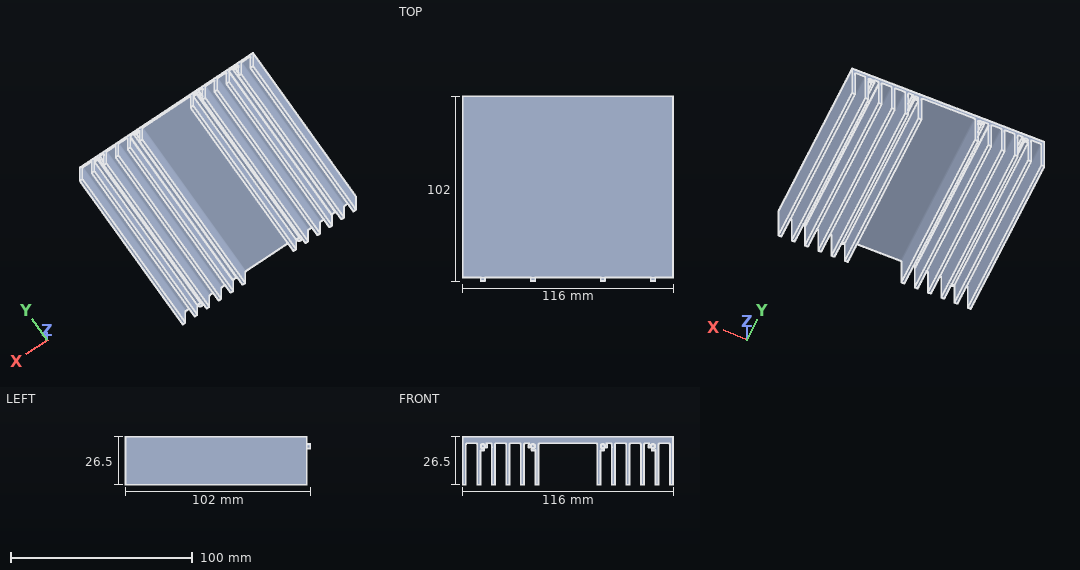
import cadquery as cq
import math

WIDTH = 116.0
HEIGHT = 26.5
LENGTH = 100.0
PLATE_THICKNESS = 3.6
OUTER_EDGE_RADIUS = 0.2

FINS_PER_SIDE = 6
FIN_THICKNESS = 1.9
FIN_PITCH = 8.0
FIN_ROOT_RADIUS = 0.7

PIN_DIAMETER = 2.5
PIN_PROJECTION = 2.0
PIN_TIP_CHAMFER = 0.2
PIN_TO_FIN = PIN_DIAMETER / 2
PIN_DROP = 1.6

CHANNEL_OUTER_DIAMETER = 5.1
LIP_ANGLE = 80.0
OPENING_TILT = 45.0

PLATE_UNDERSIDE = -PLATE_THICKNESS
PIN_Z = PLATE_UNDERSIDE - PIN_DROP
LIP_THICKNESS = (CHANNEL_OUTER_DIAMETER - PIN_DIAMETER) / 2
LIP_CENTRE_RADIUS = (CHANNEL_OUTER_DIAMETER + PIN_DIAMETER) / 4


def fin_left(index):
    """X of the left face of a fin in the left group, counted from the outside."""
    return -WIDTH / 2 + index * FIN_PITCH


OUTER_PIN_X = fin_left(1) + FIN_THICKNESS + PIN_TO_FIN
INNER_PIN_X = fin_left(FINS_PER_SIDE - 1) - PIN_TO_FIN
PIN_PLACES = [
    (OUTER_PIN_X, 1),
    (INNER_PIN_X, -1),
    (-INNER_PIN_X, 1),
    (-OUTER_PIN_X, -1),
]


def bar(left, right, bottom, top):
    """Rectangular bar running the full length along Y."""
    block = cq.Workplane("XY").box(right - left, LENGTH, top - bottom, centered=False)
    return block.translate((left, 0, bottom))


def rod(x, z, diameter, front=0.0):
    """Round rod along Y, from a front position to the back face."""
    return cq.Workplane("XZ", origin=(x, front, z)).circle(diameter / 2).extrude(front - LENGTH)


def fin_gaps():
    """Left and right X of every gap between neighbouring fins."""
    gaps = []
    for index in range(FINS_PER_SIDE - 1):
        left = fin_left(index) + FIN_THICKNESS
        right = fin_left(index + 1)
        gaps.append((left, right))
        gaps.append((-right, -left))
    middle_left = fin_left(FINS_PER_SIDE - 1) + FIN_THICKNESS
    gaps.append((middle_left, -middle_left))
    return gaps


def make_finned_plate():
    """Plate with fins: a block with rounded gaps cut upward from below."""
    plate = bar(-WIDTH / 2, WIDTH / 2, -HEIGHT, 0)
    plate = plate.edges("|Y and >Z").fillet(OUTER_EDGE_RADIUS)
    for left, right in fin_gaps():
        gap = bar(left, right, -HEIGHT, PLATE_UNDERSIDE)
        plate = plate.cut(gap.edges("|Y and >Z").fillet(FIN_ROOT_RADIUS))
    return plate


def lip_direction(side, lip):
    """Unit X and Z from the pin axis toward the upper (lip 1) or lower (lip -1) lip."""
    angle = math.radians(-OPENING_TILT + lip * LIP_ANGLE / 2)
    return side * math.cos(angle), math.sin(angle)


def make_channel_opening(x, side):
    """Wedge from the pin axis outward between the two lip directions."""
    reach = CHANNEL_OUTER_DIAMETER
    corners = [(0, 0)]
    for lip in (1, -1):
        along_x, along_z = lip_direction(side, lip)
        corners.append((reach * along_x, reach * along_z))
    outline = cq.Workplane("XZ", origin=(x, 0, PIN_Z)).polyline(corners).close()
    return outline.extrude(-LENGTH)


def make_lip(x, side, lip):
    """Rod that rounds one end of the channel wall."""
    along_x, along_z = lip_direction(side, lip)
    return rod(x + LIP_CENTRE_RADIUS * along_x, PIN_Z + LIP_CENTRE_RADIUS * along_z, LIP_THICKNESS)


def make_heat_sink():
    body = make_finned_plate()
    for x, side in PIN_PLACES:
        body = body.union(rod(x, PIN_Z, CHANNEL_OUTER_DIAMETER))
        body = body.cut(make_channel_opening(x, side))
        for lip in (1, -1):
            body = body.union(make_lip(x, side, lip))
        body = body.cut(rod(x, PIN_Z, PIN_DIAMETER))
    return body


def make_pin(x):
    """Pin filling its channel and standing out at the front, with a chamfered tip."""
    pin = rod(x, PIN_Z, PIN_DIAMETER, front=-PIN_PROJECTION)
    return pin.faces("<Y").chamfer(PIN_TIP_CHAMFER)


heat_sink = make_heat_sink()
pins = [make_pin(x) for x, _ in PIN_PLACES]
result = cq.Compound.makeCompound([heat_sink.solids().val(), *[pin.val() for pin in pins]])